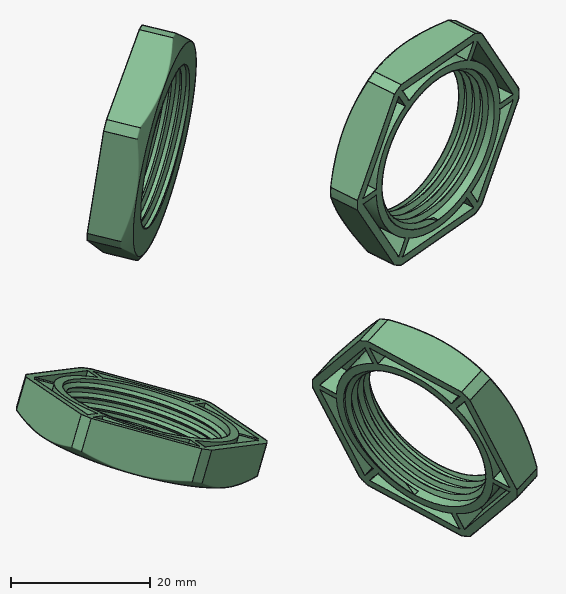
import cadquery as cq
import math

THICKNESS = 6.29
ACROSS_FLATS = 32.0
ACROSS_CORNERS = 36.0
HEX_SIDES = 6
CHAMFER_ANGLE = 30.0
END_FACE_RADIUS = 15.9
RIM_FILLET = 0.2

THREAD_RADIUS = 12.5
PITCH = 1.5
THREAD_HEIGHT = 0.77
FLANK_ANGLE = 30.0
RIDGE_BASE = 2 * THREAD_HEIGHT * math.tan(math.radians(FLANK_ANGLE))
RIDGE_EMBED = 0.1
RIDGE_EARLY_ANGLE = 5.0
LEAD_IN_LENGTH = 2.1

RING_RADIUS = 13.8
WALL = 1.3
RIB_WIDTH = 1.0
POCKET_DEPTH = 4.5

SIDE_ANGLE = 360.0 / HEX_SIDES


def hexagon(across_flats, length):
    """Hexagonal prism from X = 0 with corners on the Y axis."""
    corner_diameter = across_flats / math.cos(math.radians(SIDE_ANGLE / 2))
    return cq.Workplane("YZ").polygon(HEX_SIDES, corner_diameter).extrude(length)


def cylinder(radius, length):
    """Round bar on the X axis from X = 0."""
    return cq.Workplane("YZ").circle(radius).extrude(length)


def nut_blank():
    """Solid hexagon with turned corners and a rounded conical chamfer."""
    corner_radius = ACROSS_CORNERS / 2
    chamfer_length = (corner_radius - END_FACE_RADIUS) * math.tan(math.radians(CHAMFER_ANGLE))
    turned = (
        cq.Workplane("XY")
        .moveTo(0, 0)
        .lineTo(0, corner_radius)
        .lineTo(THICKNESS - chamfer_length, corner_radius)
        .lineTo(THICKNESS, END_FACE_RADIUS)
        .lineTo(THICKNESS, 0)
        .close()
        .revolve(360, (0, 0, 0), (1, 0, 0))
    )
    blank = hexagon(ACROSS_FLATS, THICKNESS).intersect(turned)
    return blank.edges("not(|X or <X or >X)").edges("not(%LINE)").fillet(RIM_FILLET)


def pockets():
    """Six blind pockets, one behind each flat, separated by ribs to the corners."""
    body = hexagon(ACROSS_FLATS - 2 * WALL, POCKET_DEPTH).cut(cylinder(RING_RADIUS, POCKET_DEPTH))
    rib = cq.Workplane("YZ").rect(ACROSS_CORNERS, RIB_WIDTH).extrude(POCKET_DEPTH)
    for i in range(HEX_SIDES // 2):
        body = body.cut(rib.rotate((0, 0, 0), (1, 0, 0), i * SIDE_ANGLE))
    return body


def thread_ridge():
    """Sharp-crested right-hand ridge from a ramp at -Z on the open face, flush with the far face."""
    outer_half = RIDGE_BASE / 2 + RIDGE_EMBED * math.tan(math.radians(FLANK_ANGLE))
    outer_radius = THREAD_RADIUS + RIDGE_EMBED
    crest_radius = THREAD_RADIUS - THREAD_HEIGHT
    middle = RIDGE_BASE / 2
    helix = cq.Workplane(cq.Wire.makeHelix(PITCH, THICKNESS, THREAD_RADIUS))
    ridge = (
        cq.Workplane("XZ")
        .moveTo(outer_radius, middle - outer_half)
        .lineTo(crest_radius, middle)
        .lineTo(outer_radius, middle + outer_half)
        .close()
        .sweep(helix, isFrenet=True)
        .rotate((0, 0, 0), (0, 1, 0), 90)
        .rotate((0, 0, 0), (1, 0, 0), -RIDGE_EARLY_ANGLE)
        .translate((-PITCH * RIDGE_EARLY_ANGLE / 360, 0, 0))
    )
    ramp_rise = THREAD_RADIUS - math.sqrt(crest_radius**2 - LEAD_IN_LENGTH**2)
    first_turn_end = (RIDGE_BASE + PITCH) / 2
    ramp_clearance = (
        cq.Workplane("YZ")
        .moveTo(-LEAD_IN_LENGTH, -THREAD_RADIUS - ramp_rise)
        .lineTo(2 * LEAD_IN_LENGTH, -THREAD_RADIUS + 2 * ramp_rise)
        .lineTo(-LEAD_IN_LENGTH, -THREAD_RADIUS + 2 * ramp_rise)
        .close()
        .extrude(first_turn_end)
    )
    between_faces = hexagon(ACROSS_FLATS, THICKNESS)
    return ridge.cut(ramp_clearance).intersect(between_faces)


bore = cylinder(THREAD_RADIUS, THICKNESS)

result = nut_blank().cut(pockets()).cut(bore).union(thread_ridge())